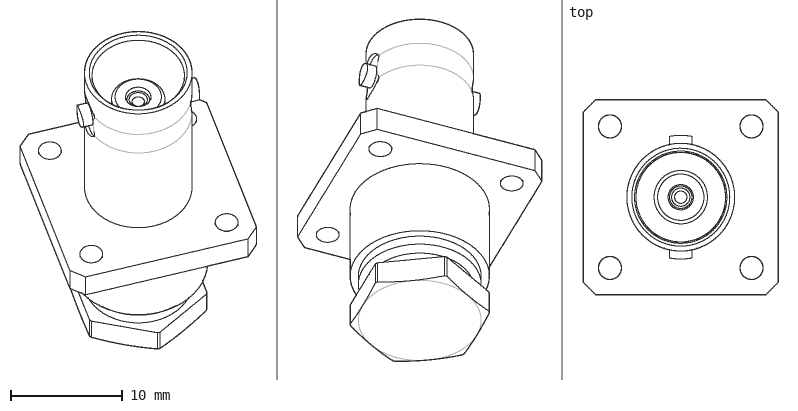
import cadquery as cq
import math

total_height = 31.5
nut_height = 2.5
neck_top = 3.75
collar_cone_top = 4.28
body_bottom = 5.23
flange_bottom = 13.17
flange_thickness = 2.5

body_diameter = 12.5
collar_diameter = 11.02
neck_diameter = 9.8
barrel_diameter = 9.67
barrel_radius = barrel_diameter / 2

nut_across_flats = 11.02
nut_turned_diameter = 12.6
nut_bevel_height = 0.22

flange_side = 17.5
flange_chamfer = 1.13
mount_hole_spacing = 12.7
mount_hole_diameter = 2.05

pin_height = 27.35
groove_width = 2.58
groove_depth = 0.13

pin_diameter = 2.05
pin_tip_diameter = 11.1
flat_offset = 4.57
flat_radius = 2.05
flat_flare = 0.2

socket_mouth_diameter = 8.8
socket_top_diameter = 8.3
socket_floor_diameter = 8.03
socket_chamfer_depth = 0.4
socket_depth = 8.35

post_diameter = 4.8
post_chamfer = 0.3
post_recess = 3.37
post_top = total_height - post_recess
post_bore_diameter = 2.27
post_bore_depth = 3.78

contact_diameter = 2.02
contact_recess = 0.38
contact_top = post_top - contact_recess
countersink_diameter = 1.65
countersink_depth = 0.28
contact_hole_diameter = 1.1


def revolve_about_axis(profile):
    """Turn a closed (radius, height) profile about the Z axis."""
    return profile.close().revolve(360, (0, 0, 0), (0, 1, 0))


def cylinder(diameter, bottom, top):
    return cq.Workplane("XY").workplane(offset=bottom).circle(diameter / 2).extrude(top - bottom)


def make_nut():
    across_corners = nut_across_flats / math.cos(math.pi / 6)
    prism = cq.Workplane("XY").polygon(6, across_corners).extrude(nut_height)
    turned_blank = revolve_about_axis(
        cq.Workplane("XZ")
        .lineTo(nut_across_flats / 2, 0)
        .lineTo(nut_turned_diameter / 2, nut_bevel_height)
        .lineTo(nut_turned_diameter / 2, nut_height)
        .lineTo(0, nut_height)
    )
    return prism.intersect(turned_blank)


def make_turned_body():
    """Neck, collar, body and grooved barrel as one revolved solid."""
    groove_bottom = pin_height - groove_width / 2
    groove_top = pin_height + groove_width / 2
    return revolve_about_axis(
        cq.Workplane("XZ")
        .moveTo(0, nut_height)
        .lineTo(neck_diameter / 2, nut_height)
        .lineTo(neck_diameter / 2, neck_top)
        .lineTo(collar_diameter / 2, collar_cone_top)
        .lineTo(collar_diameter / 2, body_bottom)
        .lineTo(body_diameter / 2, body_bottom)
        .lineTo(body_diameter / 2, flange_bottom)
        .lineTo(barrel_radius, flange_bottom)
        .lineTo(barrel_radius, groove_bottom)
        .threePointArc((barrel_radius - groove_depth, pin_height), (barrel_radius, groove_top))
        .lineTo(barrel_radius, total_height)
        .lineTo(0, total_height)
    )


def make_flange():
    return (
        cq.Workplane("XY")
        .workplane(offset=flange_bottom)
        .rect(flange_side, flange_side)
        .extrude(flange_thickness)
        .edges("|Z")
        .chamfer(flange_chamfer)
        .faces(">Z")
        .workplane()
        .rect(mount_hole_spacing, mount_hole_spacing, forConstruction=True)
        .vertices()
        .hole(mount_hole_diameter)
    )


def make_pin_flat(side):
    """Conical cutter that leaves a round flat on the -Y (side = -1) or +Y (side = 1) face."""
    cutter_depth = barrel_radius - flat_offset
    return cq.Workplane(
        cq.Solid.makeCone(
            flat_radius,
            flat_radius + flat_flare,
            cutter_depth,
            pnt=cq.Vector(0, side * flat_offset, pin_height),
            dir=cq.Vector(0, side, 0),
        )
    )


def make_pins():
    """Both pins as one cross rod with rounded ends; the socket later removes its middle."""
    rod = (
        cq.Workplane("XZ")
        .center(0, pin_height)
        .circle(pin_diameter / 2)
        .extrude(pin_tip_diameter / 2, both=True)
    )
    rod_bottom = pin_height - pin_diameter / 2
    rod_top = pin_height + pin_diameter / 2
    return rod.intersect(cylinder(pin_tip_diameter, rod_bottom, rod_top))


def make_contact(bottom):
    """Contact tube with its inner rim countersunk; the hole stops at the given bottom."""
    return revolve_about_axis(
        cq.Workplane("XZ")
        .moveTo(contact_hole_diameter / 2, bottom)
        .lineTo(contact_diameter / 2, bottom)
        .lineTo(contact_diameter / 2, contact_top)
        .lineTo(countersink_diameter / 2, contact_top)
        .lineTo(contact_hole_diameter / 2, contact_top - countersink_depth)
    )


def make_socket():
    """Tapered, chamfered cavity with the post and contact left standing in it."""
    socket_floor = total_height - socket_depth
    cavity = revolve_about_axis(
        cq.Workplane("XZ")
        .moveTo(0, socket_floor)
        .lineTo(socket_floor_diameter / 2, socket_floor)
        .lineTo(socket_top_diameter / 2, total_height - socket_chamfer_depth)
        .lineTo(socket_mouth_diameter / 2, total_height)
        .lineTo(0, total_height)
    )
    bore_floor = post_top - post_bore_depth
    post = cylinder(post_diameter, socket_floor, post_top).faces(">Z").chamfer(post_chamfer)
    post = post.cut(cylinder(post_bore_diameter, bore_floor, post_top))
    return cavity.cut(post).cut(make_contact(bore_floor))


outer_body = make_turned_body().union(make_nut()).union(make_flange())
for side in (-1, 1):
    outer_body = outer_body.cut(make_pin_flat(side))

result = outer_body.union(make_pins()).cut(make_socket())